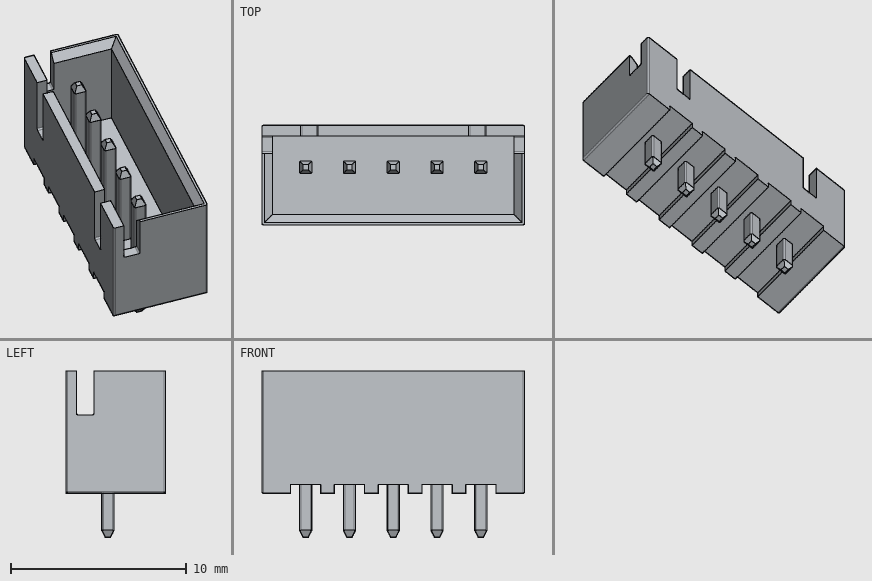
import cadquery as cq

LENGTH = 15.0
WIDTH = 5.7
HEIGHT = 6.99
WALL = 0.6
BACK_WALL = 0.62
EDGE_RADIUS = 0.1

FLOOR_Z = 1.1
LEAD_IN_WIDTH = 0.45
LEAD_IN_DEPTH = 0.45

SLOT_WIDTH = 0.99
SLOT_RADIUS = 0.09
END_SLOT_DEPTH = 2.5
BACK_SLOT_DEPTH = 3.7
BACK_SLOT_X = 4.8

PIN_COUNT = 5
PIN_PITCH = LENGTH / (PIN_COUNT + 1)
PIN_SIZE = 0.7
PIN_EDGE_RADIUS = 0.09
PIN_FROM_BACK = 2.4
PIN_BOTTOM_Z = -2.5
PIN_TOP_Z = 6.39
TIP_SIZE = 0.3
TIP_HEIGHT = 0.4

NOTCH_WIDTH = 1.71
NOTCH_DEPTH = 0.5

FRONT_Y = -WIDTH / 2
BACK_Y = WIDTH / 2
BACK_WALL_INNER_Y = BACK_Y - BACK_WALL
PIN_Y = BACK_Y - PIN_FROM_BACK
PIN_XS = [(i - (PIN_COUNT - 1) / 2) * PIN_PITCH for i in range(PIN_COUNT)]


def box_between(x_range, y_range, z_range):
    """Box given by its lower and upper limits along each axis."""
    size = [upper - lower for lower, upper in (x_range, y_range, z_range)]
    corner = (x_range[0], y_range[0], z_range[0])
    return cq.Workplane("XY").box(*size, centered=False).translate(corner)


def outer_block():
    block = cq.Workplane("XY").box(LENGTH, WIDTH, HEIGHT, centered=(True, True, False))
    return block.edges("|Z or (<Z and |Y)").fillet(EDGE_RADIUS)


def cavity():
    half = LENGTH / 2 - WALL
    return box_between((-half, half), (FRONT_Y + WALL, BACK_WALL_INNER_Y), (FLOOR_Z, HEIGHT))


def lead_in():
    """Sloped rim along the front and both ends, flaring up to the top of the cavity."""
    half = LENGTH / 2 - WALL
    front = FRONT_Y + WALL
    flared_half = half + LEAD_IN_WIDTH
    flared_front = front - LEAD_IN_WIDTH
    lower = [(-half, front), (half, front), (half, BACK_WALL_INNER_Y), (-half, BACK_WALL_INNER_Y)]
    upper = [
        (-flared_half, flared_front),
        (flared_half, flared_front),
        (flared_half, BACK_WALL_INNER_Y),
        (-flared_half, BACK_WALL_INNER_Y),
    ]
    return (
        cq.Workplane("XY", origin=(0, 0, HEIGHT - LEAD_IN_DEPTH))
        .polyline(lower).close()
        .workplane(offset=LEAD_IN_DEPTH)
        .polyline(upper).close()
        .loft(ruled=True)
    )


def end_slots():
    """One cutter through both end walls, next to the back wall."""
    slot = box_between(
        (-LENGTH / 2, LENGTH / 2),
        (BACK_WALL_INNER_Y - SLOT_WIDTH, BACK_WALL_INNER_Y),
        (HEIGHT - END_SLOT_DEPTH, HEIGHT),
    )
    return slot.edges("|X and <Z").fillet(SLOT_RADIUS)


def back_slot(x):
    slot = box_between(
        (x - SLOT_WIDTH / 2, x + SLOT_WIDTH / 2),
        (BACK_WALL_INNER_Y, BACK_Y),
        (HEIGHT - BACK_SLOT_DEPTH, HEIGHT),
    )
    return slot.edges("|Y and <Z").fillet(SLOT_RADIUS)


def notch(x):
    return box_between((x - NOTCH_WIDTH / 2, x + NOTCH_WIDTH / 2), (FRONT_Y, BACK_Y), (0, NOTCH_DEPTH))


def pin_tip(base_z, direction):
    """Pyramid that tapers from the pin section, upwards (1) or downwards (-1)."""
    return (
        cq.Workplane("XY", origin=(0, 0, base_z))
        .rect(PIN_SIZE, PIN_SIZE)
        .workplane(offset=direction * TIP_HEIGHT)
        .rect(TIP_SIZE, TIP_SIZE)
        .loft(ruled=True)
    )


def pin(x):
    """Square pin with rounded long edges and a blunt taper at each end."""
    envelope = (
        cq.Workplane("XY", origin=(0, 0, PIN_BOTTOM_Z))
        .rect(PIN_SIZE, PIN_SIZE)
        .extrude(PIN_TOP_Z - PIN_BOTTOM_Z)
        .edges("|Z").fillet(PIN_EDGE_RADIUS)
    )
    lower_z = PIN_BOTTOM_Z + TIP_HEIGHT
    upper_z = PIN_TOP_Z - TIP_HEIGHT
    tapered = (
        cq.Workplane("XY", origin=(0, 0, lower_z))
        .rect(PIN_SIZE, PIN_SIZE)
        .extrude(upper_z - lower_z)
        .union(pin_tip(lower_z, -1))
        .union(pin_tip(upper_z, 1))
    )
    return envelope.intersect(tapered).translate((x, PIN_Y, 0))


result = outer_block().cut(cavity()).cut(lead_in()).cut(end_slots())
for slot_x in (-BACK_SLOT_X, BACK_SLOT_X):
    result = result.cut(back_slot(slot_x))
for pin_x in PIN_XS:
    result = result.cut(notch(pin_x)).union(pin(pin_x))